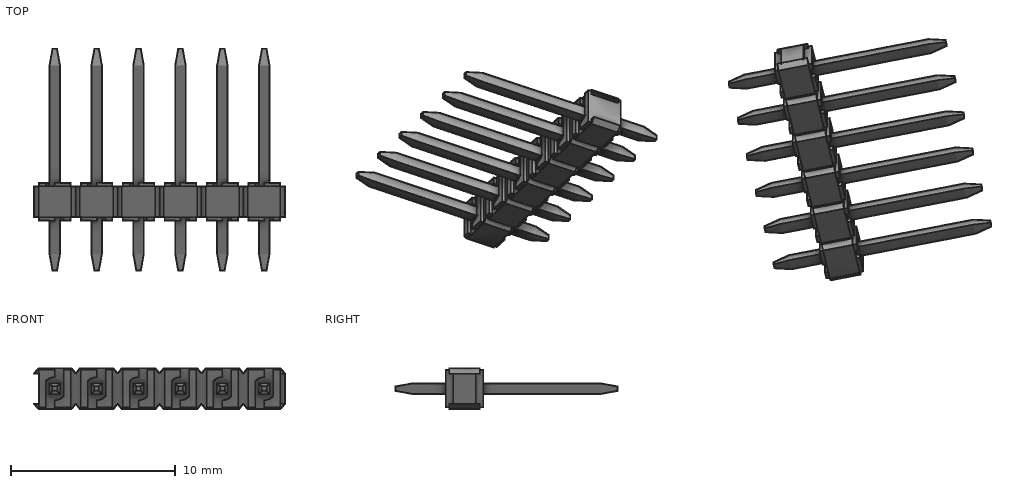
import cadquery as cq
import math

pin_count = 6
pitch = 2.54

row_length = pin_count * pitch
body_height = 2.49
body_depth = 1.86
notch_half_width = 0.26
notch_depth = 0.32
end_chamfer_width = 0.31
end_chamfer_height = 0.33

pad_span = 2.29
pad_height = (pad_span - body_depth) / 2
pad_half_width = pitch / 2 - end_chamfer_width
pad_half_height = 1.14
pad_inner_x = 0.54
pin_clearance_radius = 0.70

tongue_setback = 0.25
tongue_depth = body_depth - 2 * tongue_setback

pin_width = 0.65
pin_tip_width = 0.28
pin_taper_length = 1.02
front_pin_projection = 3.04
back_pin_projection = 8.13

half_length = row_length / 2
half_height = body_height / 2
lip_height = half_height - end_chamfer_height
pin_positions = [(i - (pin_count - 1) / 2) * pitch for i in range(pin_count)]
front_tip_y = -pad_span / 2 - front_pin_projection
back_tip_y = pad_span / 2 + back_pin_projection


def block_at_x(size_x, size_y, size_z, center_x):
    return cq.Workplane("XY").box(size_x, size_y, size_z).translate((center_x, 0, 0))


def prism_along_y(points):
    """Extrude an XZ outline over the body depth, centred on Y = 0."""
    return cq.Workplane("XZ").polyline(points).close().extrude(body_depth / 2, both=True)


def make_body():
    flat_end = half_length - end_chamfer_width
    body = prism_along_y([
        (-half_length, lip_height),
        (-flat_end, half_height),
        (flat_end, half_height),
        (half_length, lip_height),
        (half_length, -lip_height),
        (flat_end, -half_height),
        (-flat_end, -half_height),
        (-half_length, -lip_height),
    ])
    for i in range(1, pin_count):
        notch_x = -half_length + i * pitch
        for side in (1, -1):
            notch = prism_along_y([
                (notch_x - notch_half_width, side * half_height),
                (notch_x, side * (half_height - notch_depth)),
                (notch_x + notch_half_width, side * half_height),
            ])
            body = body.cut(notch)
    return body


def recess_ends(body):
    """Leave thin lips at both ends, with a tongue between them at the +X end."""
    recess_center = half_length - end_chamfer_width / 2
    recess_height = 2 * lip_height
    for side in (-1, 1):
        recess = block_at_x(end_chamfer_width, body_depth, recess_height, side * recess_center)
        body = body.cut(recess)
    tongue = block_at_x(end_chamfer_width, tongue_depth, recess_height, recess_center)
    return body.union(tongue)


def make_hook_pad():
    """Hooked pad on the -X side of a front face pin, its arc centred on the pin."""
    arc_end_z = math.sqrt(pin_clearance_radius**2 - pad_inner_x**2)
    arc_mid_angle = (math.pi / 2 + math.atan2(arc_end_z, -pad_inner_x)) / 2
    arc_mid = (
        pin_clearance_radius * math.cos(arc_mid_angle),
        pin_clearance_radius * math.sin(arc_mid_angle),
    )
    return (
        cq.Workplane("XZ", origin=(0, -body_depth / 2, 0))
        .moveTo(-pad_half_width, -pad_half_height)
        .lineTo(-pad_half_width, pad_half_height)
        .lineTo(0, pad_half_height)
        .lineTo(0, pin_clearance_radius)
        .threePointArc(arc_mid, (-pad_inner_x, arc_end_z))
        .lineTo(-pad_inner_x, -pad_half_height)
        .close()
        .extrude(pad_height)
    )


def make_pad_set():
    """Two opposed hooks in front, and the same pair turned about Z at the back."""
    hook = make_hook_pad()
    opposed_hook = hook.rotate((0, 0, 0), (0, 1, 0), 180)
    front_pair = [hook, opposed_hook]
    back_pair = [pad.rotate((0, 0, 0), (0, 0, 1), 180) for pad in front_pair]
    return front_pair + back_pair


def make_pin():
    shaft_start = front_tip_y + pin_taper_length
    shaft_end = back_tip_y - pin_taper_length
    shaft = (
        cq.Workplane("XZ", origin=(0, shaft_start, 0))
        .rect(pin_width, pin_width)
        .extrude(shaft_start - shaft_end)
    )
    for base_y, tip_y in ((shaft_start, front_tip_y), (shaft_end, back_tip_y)):
        taper = (
            cq.Workplane("XZ", origin=(0, base_y, 0))
            .rect(pin_width, pin_width)
            .workplane(offset=base_y - tip_y)
            .rect(pin_tip_width, pin_tip_width)
            .loft(ruled=True)
        )
        shaft = shaft.union(taper)
    return shaft


header = recess_ends(make_body())
position_parts = make_pad_set() + [make_pin()]
for pin_x in pin_positions:
    for part in position_parts:
        header = header.union(part.translate((pin_x, 0, 0)))

result = header